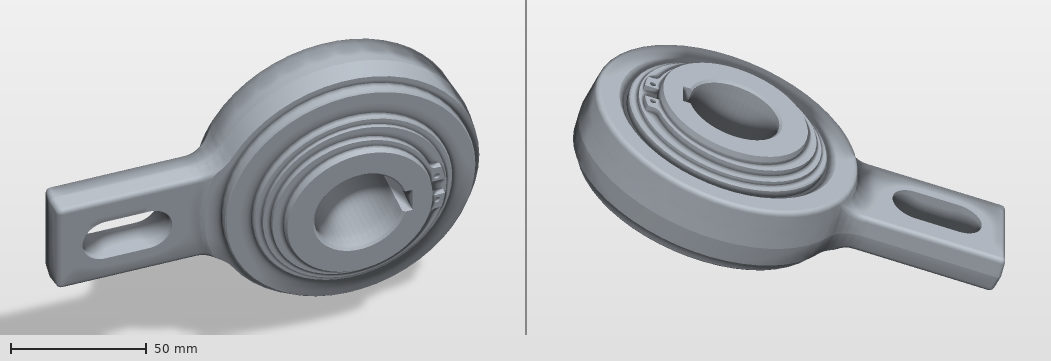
import cadquery as cq
import math


ring_radius = 53.0
ring_half_width = 15.5
arm_end = 113.0
arm_height = 40.0
arm_half_height = arm_height / 2
arm_half_thickness = 7.5
neck_fillet = 16.0
draft_angle = 6
edge_fillet = 2.0
selection_margin = 0.2

cove_clearance = 0.08
cove_radius = ring_half_width - arm_half_thickness
cove_start = ring_radius - ring_half_width * math.tan(math.radians(draft_angle)) + cove_clearance
cove_end = cove_start + cove_radius

collar_radius = 49.0
collar_start = 8.5
collar_end = 13.5
collar_chamfer = 0.5

slot_length = 35.0
slot_width = 18.1
slot_center = 85.1

bore_radius = 40.0
bore_chamfer = 2.5

race_radius = 38.8
race_half_width = 16.5
race_chamfer = 0.5
cover_radius = 35.9
cover_half_width = 18.1
hub_radius = 28.9
hub_length = 48.0
hub_half_width = hub_length / 2
hub_lead_length = 2.2
hub_lead_drop = 0.5
shaft_diameter = 35.0
shaft_radius = shaft_diameter / 2
shaft_chamfer = 0.91
key_width = 10.0
key_depth = 20.5

clip_radius = 31.9
clip_offset = 1.2
clip_thickness = 2.5
ear_radius = 34.5
ear_half_height = 10.0
ear_gap = 7.0
ear_corner_fillet = 0.8
ear_root_fillet = 2.5
ear_hole_diameter = 2.5
ear_hole_y = 31.2
ear_hole_z = 5.8


def cylinder(radius, start, end):
    """Cylinder about the X axis between two X positions."""
    return cq.Workplane("YZ", origin=(start, 0, 0)).circle(radius).extrude(end - start)


def lever_outline():
    """Parting-line outline: ring and arm, blended by tangent neck arcs."""
    blend_z = arm_half_height + neck_fillet
    blend_reach = ring_radius + neck_fillet
    blend_y = -math.sqrt(blend_reach**2 - blend_z**2)
    tangent_y = blend_y * ring_radius / blend_reach
    tangent_z = blend_z * ring_radius / blend_reach
    middle_angle = (math.atan2(-blend_z, -blend_y) - math.pi / 2) / 2
    middle_y = blend_y + neck_fillet * math.cos(middle_angle)
    middle_z = blend_z + neck_fillet * math.sin(middle_angle)
    return (
        cq.Workplane("YZ")
        .moveTo(tangent_y, tangent_z)
        .threePointArc((ring_radius, 0), (tangent_y, -tangent_z))
        .threePointArc((middle_y, -middle_z), (blend_y, -arm_half_height))
        .lineTo(-arm_end, -arm_half_height)
        .lineTo(-arm_end, arm_half_height)
        .lineTo(blend_y, arm_half_height)
        .threePointArc((middle_y, middle_z), (tangent_y, tangent_z))
        .close()
    )


def arm_relief():
    """Material removed beside the arm: a cove turned about the ring axis down to the arm face."""
    cove_sag = cove_radius * math.sqrt(0.5)
    far = 2 * arm_end
    return (
        cq.Workplane("XY")
        .moveTo(ring_half_width, cove_start)
        .threePointArc(
            (ring_half_width - cove_sag, cove_end - cove_sag), (arm_half_thickness, cove_end)
        )
        .lineTo(arm_half_thickness, far)
        .lineTo(ring_half_width, far)
        .close()
        .revolve(360, (0, 0, 0), (1, 0, 0))
    )


def lever_half():
    """Drafted +X half of the lever blank with its rim, neck and arm edges rounded."""
    half = lever_outline().extrude(ring_half_width, taper=draft_angle).cut(arm_relief())
    face_edges = cq.selectors.BoxSelector(
        (arm_half_thickness - selection_margin, -arm_end, -ring_radius),
        (ring_half_width + selection_margin, ring_radius, ring_radius),
        boundingbox=True,
    )
    cove_foot = cq.selectors.NearestToPointSelector((arm_half_thickness, -cove_end, 0))
    rounded = face_edges - cove_foot
    for corner_z in (-arm_half_height, arm_half_height):
        corner = (arm_half_thickness / 2, -arm_end, corner_z)
        rounded = rounded + cq.selectors.NearestToPointSelector(corner)
    return half.edges(rounded).fillet(edge_fillet)


def turned_collar(lever):
    """Face the +X side off and turn a collar around the bore there."""
    beyond = 2 * arm_end
    collar = cylinder(collar_radius, collar_start, collar_end).faces(">X").chamfer(collar_chamfer)
    removed = cylinder(beyond, collar_start, beyond).cut(collar)
    return lever.cut(removed)


def slot_cutter():
    """Long hole through the arm."""
    return (
        cq.Workplane("YZ", origin=(0, -slot_center, 0))
        .slot2D(slot_length, slot_width)
        .extrude(arm_half_thickness, both=True)
    )


def lever_bore():
    """Through bore for the freewheel, flared at the -X face."""
    flare = cq.Solid.makeCone(
        bore_radius + bore_chamfer,
        bore_radius,
        bore_chamfer,
        pnt=cq.Vector(-ring_half_width, 0, 0),
        dir=cq.Vector(1, 0, 0),
    )
    return cylinder(bore_radius, -ring_half_width, collar_end).union(cq.Workplane(flare))


def lever_body():
    """Torque lever: ring and slotted arm, with a bore for the freewheel."""
    half = lever_half()
    lever = turned_collar(half.union(half.mirror("YZ")))
    return lever.cut(slot_cutter()).cut(lever_bore())


def stepped_race():
    """Outer race seated in the lever bore, with narrower chamfered ends and side covers."""
    seat = cylinder(bore_radius, bore_chamfer - ring_half_width, collar_end)
    race = cylinder(race_radius, -race_half_width, race_half_width)
    race = race.faces("<X or >X").chamfer(race_chamfer)
    cover = cylinder(cover_radius, -cover_half_width, cover_half_width)
    return seat.union(race).union(cover)


def hub():
    """Inner race with a long shallow lead-in at both ends."""
    blank = cylinder(hub_radius, -hub_half_width, hub_half_width)
    for end in ("<X", ">X"):
        blank = blank.faces(end).edges().chamfer(hub_lead_length, hub_lead_drop)
    return blank


def clip_slab(height):
    """Slab one retaining ring thick, reaching from the axis to the ear tips on the +Y side."""
    slab = cq.Workplane("YZ", origin=(cover_half_width, ear_radius / 2, 0))
    return slab.rect(ear_radius, height).extrude(clip_thickness)


def clip_ears():
    """Blank for the two retaining ring ears on the +Y side."""
    blank = cylinder(ear_radius, cover_half_width, cover_half_width + clip_thickness)
    return blank.intersect(clip_slab(2 * ear_half_height))


def retaining_ring():
    """Eccentric retaining ring seated against the +X cover."""
    ring = cylinder(clip_radius, cover_half_width, cover_half_width + clip_thickness)
    ring = ring.translate((0, -clip_offset, 0)).union(clip_ears())
    middle = cover_half_width + clip_thickness / 2
    for side in (-1, 1):
        z = side * ear_half_height
        root_y = math.sqrt(clip_radius**2 - z**2) - clip_offset
        corner_y = math.sqrt(ear_radius**2 - z**2)
        for y, radius in ((root_y, ear_root_fillet), (corner_y, ear_corner_fillet)):
            ring = ring.edges(cq.selectors.NearestToPointSelector((middle, y, z))).fillet(radius)
    holes = (
        cq.Workplane("YZ", origin=(cover_half_width, 0, 0))
        .pushPoints([(ear_hole_y, -ear_hole_z), (ear_hole_y, ear_hole_z)])
        .circle(ear_hole_diameter / 2)
        .extrude(clip_thickness)
    )
    return ring.cut(clip_slab(ear_gap)).cut(holes)


def keyed_bore():
    """Shaft hole with chamfered mouths and a keyway on the +Y side."""
    mouth_radius = shaft_radius + shaft_chamfer
    profile = (
        cq.Workplane("XY")
        .moveTo(-hub_half_width, 0)
        .lineTo(-hub_half_width, mouth_radius)
        .lineTo(shaft_chamfer - hub_half_width, shaft_radius)
        .lineTo(hub_half_width - shaft_chamfer, shaft_radius)
        .lineTo(hub_half_width, mouth_radius)
        .lineTo(hub_half_width, 0)
        .close()
    )
    keyway = cq.Workplane("XY", origin=(0, key_depth / 2, 0)).box(hub_length, key_depth, key_width)
    return profile.revolve(360, (0, 0, 0), (1, 0, 0)).union(keyway)


def freewheel_body():
    """Freewheel: outer race, covers, hub and a retaining ring at each end."""
    clip = retaining_ring()
    body = stepped_race().union(hub()).union(clip).union(clip.mirror("YZ"))
    return body.cut(keyed_bore())


lever = lever_body()
freewheel = freewheel_body()
result = cq.Compound.makeCompound([lever.val(), freewheel.val()])